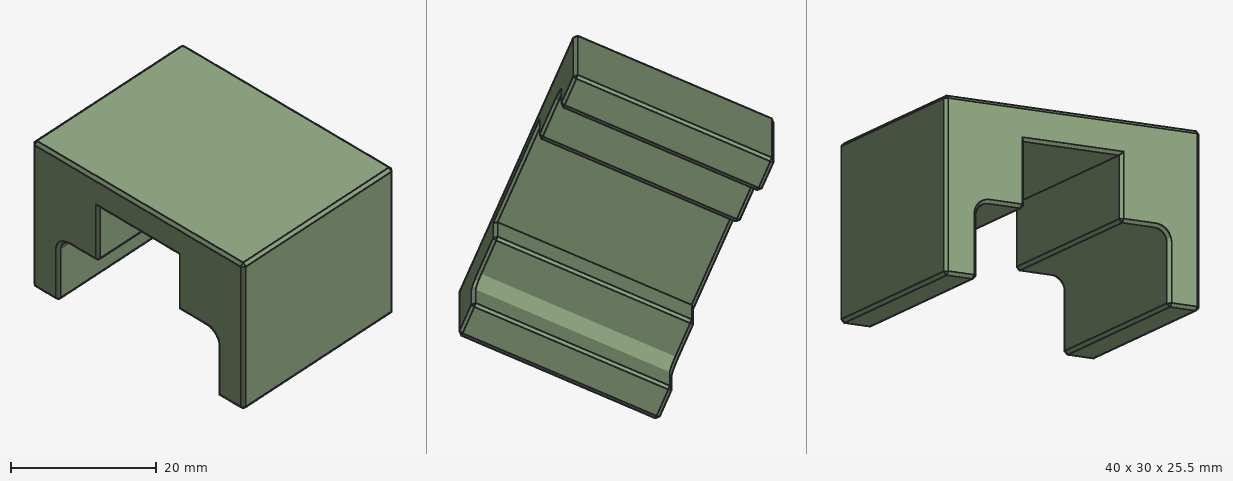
import cadquery as cq

LENGTH = 40.0
DEPTH = 30.0
HEIGHT = 25.5

LEG_WIDTH = 5.0
LOWER_HEIGHT = 11.0
UPPER_WIDTH = 15.0
ROOF_THICKNESS = 5.0
CORNER_RADIUS = 2.0

CHAMFER = 0.5

lower_width = LENGTH - 2 * LEG_WIDTH
upper_height = HEIGHT - ROOF_THICKNESS


def tunnel_box(width, height):
    """Box cut through the full depth, open at the underside."""
    return cq.Workplane("XY").box(width, DEPTH, height, centered=(True, True, False))


def make_tunnel():
    """Wide lower channel with rounded top corners and a narrower channel above."""
    lower = tunnel_box(lower_width, LOWER_HEIGHT).edges("|Y and >Z").fillet(CORNER_RADIUS)
    return lower.union(tunnel_box(UPPER_WIDTH, upper_height))


block = cq.Workplane("XY").box(LENGTH, DEPTH, HEIGHT, centered=(True, True, False))
body = block.cut(make_tunnel())

outer_edges = body.faces("<X or >X or <Y or >Y or <Z or >Z").edges()
shoulder_edges = body.edges(
    cq.selectors.BoxSelector(
        (-UPPER_WIDTH / 2 - CHAMFER, -CHAMFER, LOWER_HEIGHT - CHAMFER),
        (UPPER_WIDTH / 2 + CHAMFER, CHAMFER, LOWER_HEIGHT + CHAMFER),
    )
)
result = outer_edges.add(shoulder_edges).chamfer(CHAMFER)